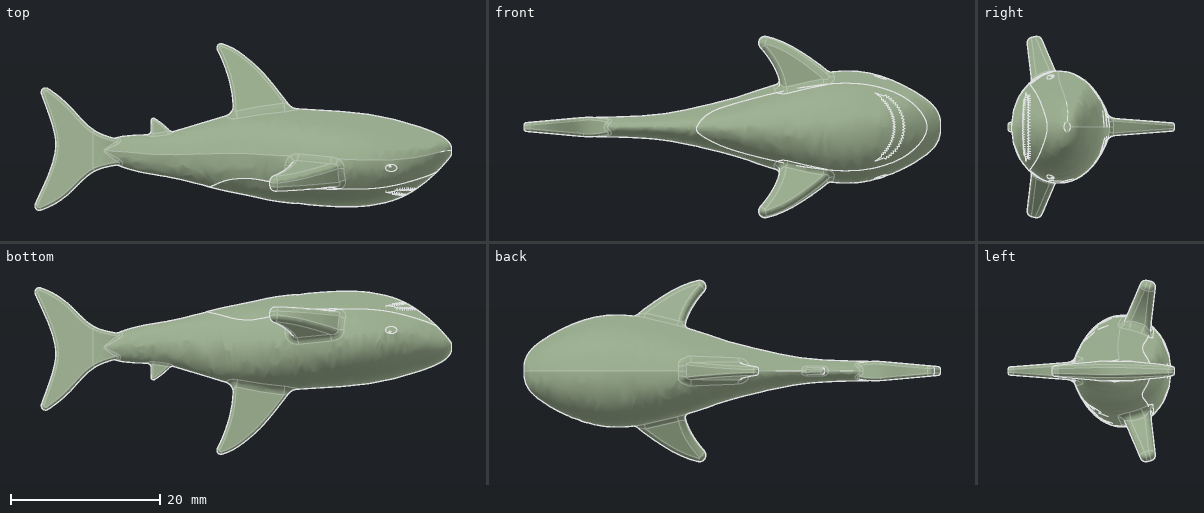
import cadquery as cq
import math


HULL_SECTIONS = [
    (6.7, 1.0, 0.9, -0.2),
    (8.95, 1.3, 1.4, -0.6),
    (11.2, 1.35, 2.25, -1.55),
    (13.45, 1.4, 2.5, -2.3),
    (17.9, 1.7, 2.85, -3.15),
    (22.4, 2.45, 4.15, -4.2),
    (26.85, 3.5, 5.4, -5.25),
    (31.35, 4.9, 5.9, -6.2),
    (35.8, 6.25, 6.05, -6.8),
    (40.3, 7.3, 5.75, -7.1),
    (44.8, 7.5, 5.3, -7.0),
    (49.25, 6.4, 4.35, -5.8),
    (52.6, 4.7, 3.3, -3.7),
    (54.85, 3.0, 2.25, -1.55),
    (55.95, 0.65, 0.8, -0.05),
]

PLATE_DEPTH = 11.2
TAPER_REACH = 55.95
JOINT_TOLERANCE = 0.0005
PICK_SIZE = 0.1

TAIL_TOP_EDGE = [(12.3, 1.8), (10.1, 2.25), (8.0, 3.15), (4.75, 6.3), (2.8, 8.05), (0.45, 9.5)]
TAIL_REAR_EDGE = [(0.8, 17.0), (2.25, 4.25), (2.8, 1.35), (2.25, -1.7), (-0.45, -7.9)]
TAIL_BOTTOM_EDGE = [(-0.8, -14.1), (1.45, -7.35), (4.65, -5.3), (8.0, -2.35), (10.1, -1.7), (12.3, -1.35)]
TAIL_TAPER = [(-3.35, 0.3), (7.85, 1.3)]
TAIL_ROOT_TAPER = [(7.85, 1.3), (10.1, 1.25), (12.3, 0.6)]
TAIL_TIP_RADIUS = 0.6
TAIL_EDGE_RADIUS = 0.4
TAIL_BLEND_RADIUS = 0.85

DORSAL_FRONT_EDGE = [(38.05, 2.8), (34.15, 6.55), (30.8, 10.75), (28.45, 12.95), (26.3, 14.35), (23.95, 15.0)]
DORSAL_REAR_EDGE = [(42.8, 26.8), (25.7, 11.2), (26.4, 8.4), (26.25, 2.8)]
DORSAL_TAPER = [(0.0, 1.7), (16.8, 0.4)]
DORSAL_TIP_RADIUS = 0.55
DORSAL_EDGE_RADIUS = 0.4
DORSAL_BLEND_RADIUS = 1.4

FINLET_FRONT_EDGE = [(19.3, 1.7), (17.65, 3.6), (15.6, 5.05)]
FINLET_REAR_EDGE = [(27.9, 9.0), (15.55, 1.7)]
FINLET_TAPER = [(0.0, 0.6), (6.7, 0.3)]
FINLET_TIP_RADIUS = 0.35
FINLET_EDGE_RADIUS = 0.3
FINLET_BLEND_RADIUS = 0.55

PECTORAL_FRONT_EDGE = [(42.55, 3.9), (41.0, 7.3), (39.05, 8.95), (36.7, 10.65), (34.05, 12.05), (30.1, 12.8)]
PECTORAL_REAR_EDGE = [(53.8, 22.9), (32.7, 9.95), (34.05, 7.55), (34.4, 3.9)]
PECTORAL_TAPER = [(3.9, 2.2), (12.9, 0.9)]
PECTORAL_TIP_RADIUS = 0.85
PECTORAL_EDGE_RADIUS = 0.8
PECTORAL_BLEND_RADIUS = 1.0
PECTORAL_TILT = 15.0
PECTORAL_Y = -0.95

BELLY_BORDER = [
    (23.2, 0.0), (24.35, 1.45), (27.55, 2.9), (33.6, 4.55), (41.4, 5.8),
    (45.0, 5.8), (49.1, 4.9), (52.6, 2.8), (54.1, 0.0),
]
BELLY_FLOOR_Y = -1.7
BELOW_HULL_Y = -16.8

MOUTH_CORNER_X = 47.1
MOUTH_HALF_WIDTH = 4.6
INNER_LIP_X = 49.85
OUTER_LIP_X = 50.9
MOUTH_FLOOR_Y = -2.8
TOOTH_LENGTH = 0.3
TEETH_PER_LIP = 26
TOOTHED_SHARE = 0.8

EYE_X = 47.85
EYE_Y = -1.9
EYE_LENGTH = 1.5
EYE_HEIGHT = 0.95
EYE_FLOOR_Z = 5.9
PUPIL_DIAMETER = 0.235
PUPIL_X = 47.7
PUPIL_Y = -1.7
PUPIL_FLOOR_Z = 6.15
BESIDE_HULL_Z = 11.2


def make_hull():
    wires = []
    for x, half_width, back, belly in HULL_SECTIONS:
        centre = (x, (back + belly) / 2, 0)
        section = cq.Workplane("YZ", origin=centre).ellipse((back - belly) / 2, half_width)
        wires.append(cq.Wire.assembleEdges(section.edges().vals()))
    return cq.Workplane(obj=cq.Solid.makeLoft(wires))


def mirrored(points):
    """The points reflected to the other side of the profile, in reverse order."""
    return [(place, -half) for place, half in reversed(points)]


def straight_taper(points, plane):
    """Slab about Z = 0 with straight tapering faces."""
    profile = cq.Workplane(plane).workplane(offset=-TAPER_REACH)
    return profile.polyline(points + mirrored(points)).close().extrude(2 * TAPER_REACH)


def tail_taper():
    """Slab that thickens from the tail's tips and then curves in to meet the hull."""
    (tip_x, tip_half), (root_x, root_half) = TAIL_TAPER
    along_taper = (root_x - tip_x, root_half - tip_half)
    end_slope = (8.0, -4.0)
    root = TAIL_ROOT_TAPER
    far_root = mirrored(root)
    profile = cq.Workplane("XZ").workplane(offset=-TAPER_REACH)
    profile = (
        profile.moveTo(tip_x, tip_half)
        .lineTo(root_x, root_half)
        .spline(root[1:], tangents=[along_taper, end_slope], includeCurrent=True)
        .lineTo(*far_root[0])
        .spline(far_root[1:], tangents=[(-8.0, -4.0), (-along_taper[0], along_taper[1])], includeCurrent=True)
        .lineTo(tip_x, -tip_half)
        .close()
    )
    return profile.extrude(2 * TAPER_REACH)


def make_fin(edges, slab, tip_radius, edge_radius):
    """Plate bounded by the edge curves, thinned to the slab and rounded along its rim."""
    outline = cq.Workplane("XY").workplane(offset=-PLATE_DEPTH / 2).moveTo(*edges[0][0])
    for edge in edges:
        outline = outline.spline(edge[1:], includeCurrent=True)
    plate = outline.close().extrude(PLATE_DEPTH)
    for edge in edges[:-1]:
        tip_x, tip_y = edge[-1]
        tip_box = cq.selectors.BoxSelector(
            (tip_x - PICK_SIZE, tip_y - PICK_SIZE, -PLATE_DEPTH),
            (tip_x + PICK_SIZE, tip_y + PICK_SIZE, PLATE_DEPTH),
        )
        plate = plate.edges(tip_box).fillet(tip_radius)
    fin = plate.intersect(slab)
    return fin.edges("not %LINE").fillet(edge_radius)


def make_pectoral():
    flat_fin = make_fin(
        [PECTORAL_FRONT_EDGE, PECTORAL_REAR_EDGE],
        straight_taper(PECTORAL_TAPER, "YZ"), PECTORAL_TIP_RADIUS, PECTORAL_EDGE_RADIUS,
    )
    return flat_fin.rotate((0, 0, 0), (1, 0, 0), 90 + PECTORAL_TILT).translate((0, PECTORAL_Y, 0))


def joint_edges(joined, parts):
    """Edges of the joined solid that lie on no edge of its parts."""
    part_edges = cq.Compound.makeCompound([edge for part in parts for edge in part.edges().vals()])
    new_edges = []
    for edge in joined.edges().vals():
        middle = cq.Vertex.makeVertex(*edge.positionAt(0.5).toTuple())
        if middle.distance(part_edges) > JOINT_TOLERANCE:
            new_edges.append(edge)
    return new_edges


def attach(base, fin, blend_radius):
    """The base with the fin joined to it through a fillet around the fin's root."""
    joined = base.union(fin)
    return joined.newObject(joint_edges(joined, [base, fin])).fillet(blend_radius)


def make_finned_hull(hull):
    tail = make_fin(
        [TAIL_TOP_EDGE, TAIL_REAR_EDGE, TAIL_BOTTOM_EDGE],
        tail_taper(), TAIL_TIP_RADIUS, TAIL_EDGE_RADIUS,
    )
    dorsal = make_fin(
        [DORSAL_FRONT_EDGE, DORSAL_REAR_EDGE],
        straight_taper(DORSAL_TAPER, "YZ"), DORSAL_TIP_RADIUS, DORSAL_EDGE_RADIUS,
    )
    finlet = make_fin(
        [FINLET_FRONT_EDGE, FINLET_REAR_EDGE],
        straight_taper(FINLET_TAPER, "YZ"), FINLET_TIP_RADIUS, FINLET_EDGE_RADIUS,
    )
    pectoral = make_pectoral()
    finned = attach(hull, tail, TAIL_BLEND_RADIUS)
    finned = attach(finned, dorsal, DORSAL_BLEND_RADIUS)
    finned = attach(finned, finlet, FINLET_BLEND_RADIUS)
    for side_fin in (pectoral, pectoral.mirror("XY")):
        finned = attach(finned, side_fin, PECTORAL_BLEND_RADIUS)
    return finned


def belly_side_sketch(floor_y):
    """Sketch at height floor_y with local axes X and Z; extrudes towards the belly."""
    plane = cq.Plane(origin=(0, floor_y, 0), xDir=(1, 0, 0), normal=(0, -1, 0))
    return cq.Workplane(plane)


def make_belly(hull):
    """Part of the hull inside the oval border and below the belly floor."""
    points = BELLY_BORDER + mirrored(BELLY_BORDER)[1:-1]
    border = belly_side_sketch(BELLY_FLOOR_Y).spline(points, periodic=True).close()
    return hull.intersect(border.extrude(BELLY_FLOOR_Y - BELOW_HULL_Y))


def lip_points(apex_x, tooth_length):
    """Lip along an arc between the mouth corners; teeth stand off the arc by tooth_length."""
    sag = apex_x - MOUTH_CORNER_X
    radius = (MOUTH_HALF_WIDTH**2 + sag**2) / (2 * sag)
    centre_x = apex_x - radius
    corner_angle = math.asin(MOUTH_HALF_WIDTH / radius)
    toothed_angle = TOOTHED_SHARE * corner_angle
    half_steps = 2 * TEETH_PER_LIP
    polar = [(-corner_angle, radius)]
    for step in range(half_steps + 1):
        angle = toothed_angle * (2 * step / half_steps - 1)
        polar.append((angle, radius + tooth_length * (step % 2)))
    polar.append((corner_angle, radius))
    return [(centre_x + r * math.cos(a), r * math.sin(a)) for a, r in polar]


def mouth_cutter():
    """Toothed crescent that reaches from the mouth floor out past the belly."""
    outer_lip = lip_points(OUTER_LIP_X, TOOTH_LENGTH)
    inner_lip = lip_points(INNER_LIP_X, -TOOTH_LENGTH)
    outline = outer_lip + inner_lip[-2:0:-1]
    crescent = belly_side_sketch(MOUTH_FLOOR_Y).polyline(outline).close()
    return crescent.extrude(MOUTH_FLOOR_Y - BELOW_HULL_Y)


def eye_cutter():
    """Oval that reaches from the eye floor out past the hull on the +Z side."""
    oval = cq.Workplane("XY", origin=(EYE_X, EYE_Y, EYE_FLOOR_Z)).ellipse(EYE_LENGTH / 2, EYE_HEIGHT / 2)
    return oval.extrude(BESIDE_HULL_Z - EYE_FLOOR_Z)


def pupil_cutter():
    """Disc that reaches from the pupil floor out past the hull on the +Z side."""
    disc = cq.Workplane("XY", origin=(PUPIL_X, PUPIL_Y, PUPIL_FLOOR_Z)).circle(PUPIL_DIAMETER / 2)
    return disc.extrude(BESIDE_HULL_Z - PUPIL_FLOOR_Z)


def make_eye(hull):
    """Oval piece of the hull around the pupil's recess."""
    return hull.intersect(eye_cutter()).cut(pupil_cutter())


def make_pupil(hull):
    return hull.intersect(pupil_cutter())


hull = make_hull()

eye = make_eye(hull)
pupil = make_pupil(hull)
eyes = []
pupils = []
socketed_hull = hull
for flipped in (False, True):
    socket = eye_cutter()
    socketed_hull = socketed_hull.cut(socket.mirror("XY") if flipped else socket)
    eyes.append(eye.mirror("XY") if flipped else eye)
    pupils.append(pupil.mirror("XY") if flipped else pupil)

belly_with_mouth = make_belly(hull)
mouth = belly_with_mouth.intersect(mouth_cutter())
belly = belly_with_mouth.cut(mouth_cutter())

skin = make_finned_hull(socketed_hull).cut(belly_with_mouth)

result = cq.Compound.makeCompound([
    *skin.solids().vals(),
    *belly.solids().vals(),
    *mouth.solids().vals(),
    *[piece.solids().val() for piece in eyes],
    *[piece.solids().val() for piece in pupils],
])